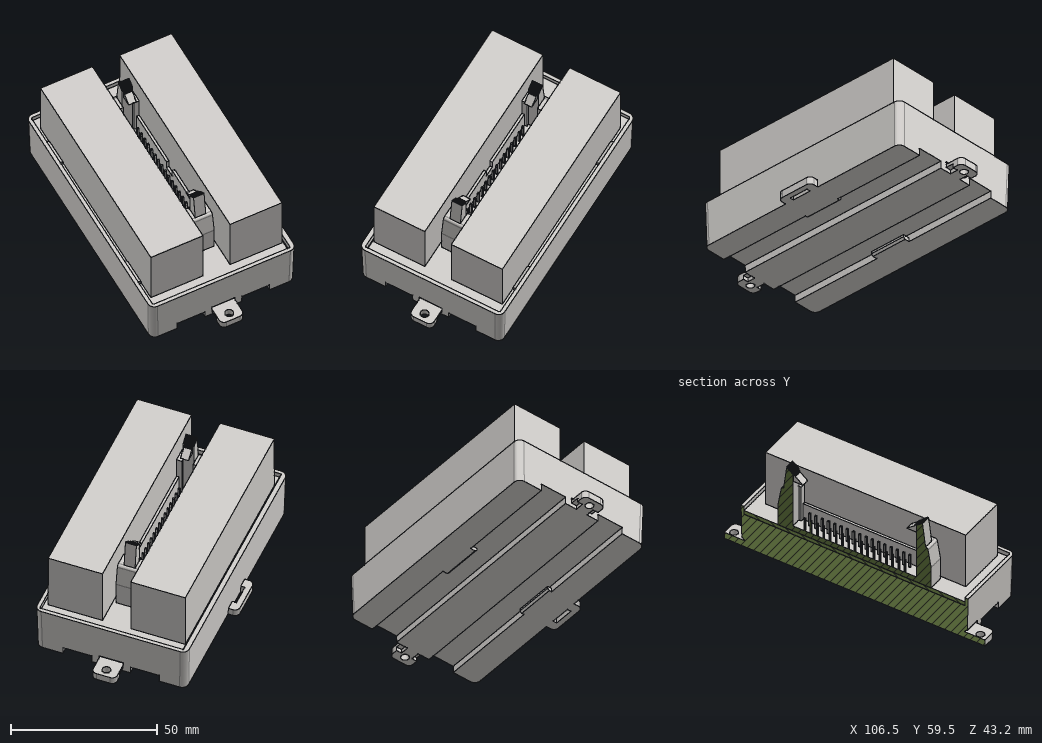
import cadquery as cq
import math

housing_length = 92.9
housing_width = 56.2
housing_height = 18.0
housing_corner_radius = 2.5
draft_angle = 1.2
rim_width = 1.4
seat_corner_radius = 0.5

board_drop = 1.8
board_thickness = 1.6
block_length = 81.8
block_width = 20.1
block_spacing = 30.6
block_top = 39.1

ramp_flat = 0.4
ramp_reach = 1.0
ramp_drop = 1.1
snap_reach = 1.4
snap_drop = 1.3
snap_width = 10.0
snap_offset = 28.9

channel_depth = 2.9
channel_inner = 7.1
channel_outer = 17.8
hook_height = 1.6
fixed_hook_reach = 2.7
clip_hook_reach = 1.7
hook_lip = 0.7

overall_length = 106.5
tab_width = 8.9
tab_thickness = 2.9
tab_corner_radius = 1.9
tab_hole_diameter = 3.0
tab_hole_offset = 50.3
tab_notch_end = 49.3
tab_notch_height = 1.6
tab_notch_depth = 2.1
relief_height = 1.1
relief_depth = 1.1
clip_width = 15.1
clip_end = 31.4
clip_slot_width = 7.8
clip_slot_end = 29.3

header_length = 62.6
header_width = 8.2
header_top = 33.3
header_top_length = 59.9
header_taper_start = 25.2
header_round = 1.1
socket_length = 48.4
socket_wall = 1.0
socket_floor_height = 2.1
key_width = 4.2
key_depth = 3.2
pin_columns = 17
pin_pitch = 2.6
pin_row_spacing = 3.2
pin_size = 0.6
pin_height = 5.3

latch_top = 43.2
latch_top_x = 27.8
latch_inner_x = 25.1
latch_slot_x = 29.1
latch_width = 4.0
latch_slope = 0.8
latch_nose_x = 21.2
latch_nose_width = 3.0
grip_end_x = 24.3
grip_steps = 10

board_top = housing_height - board_drop
board_bottom = board_top - board_thickness
seat_length = housing_length - 2 * rim_width
seat_width = housing_width - 2 * rim_width
wall_inset = housing_height * math.tan(math.radians(draft_angle))
wall_foot_x = housing_length / 2 - wall_inset


def box(x_range, y_range, z_range):
    """Box given by its limits along each axis."""
    size = [high - low for low, high in (x_range, y_range, z_range)]
    return cq.Workplane().box(*size, centered=False).translate((x_range[0], y_range[0], z_range[0]))


def extrude_along_x(points, length, center_x=0.0):
    """Profile of (y, z) points, extruded evenly to both sides of center_x."""
    return cq.Workplane("YZ").workplane(offset=center_x).polyline(points).close().extrude(length / 2, both=True)


def extrude_along_y(points, width):
    """Profile of (x, z) points, extruded evenly to both sides of the XZ plane."""
    return cq.Workplane("XZ").polyline(points).close().extrude(width / 2, both=True)


def mirrored_pair(right_half):
    """The given shape with its mirror image on the -X side."""
    return right_half.union(right_half.mirror("YZ"))


def make_tray():
    body = (
        cq.Workplane(origin=(0, 0, housing_height))
        .rect(housing_length, housing_width)
        .extrude(-housing_height, taper=draft_angle)
        .edges("not(#Z or |X or |Y)")
        .fillet(housing_corner_radius)
    )
    seat = (
        cq.Workplane(origin=(0, 0, board_bottom))
        .rect(seat_length, seat_width)
        .extrude(housing_height - board_bottom)
        .edges("|Z")
        .fillet(seat_corner_radius)
    )
    return body.cut(seat)


def edge_ramp(side, reach, drop, length, flat=0.0, center_x=0.0):
    """Strip on the +Y (1) or -Y (-1) wall: flat at the rim, then a slope, then upright to the board."""
    wall = side * seat_width / 2
    shoulder = wall - side * flat
    edge = wall - side * reach
    points = [
        (wall, board_top),
        (edge, board_top),
        (edge, housing_height - drop),
        (shoulder, housing_height),
    ]
    if flat > 0:
        points.append((wall, housing_height))
    return extrude_along_x(points, length, center_x)


def rail_channels():
    channel = box((-housing_length, housing_length), (channel_inner, channel_outer), (0, channel_depth))
    return channel.union(channel.mirror("XZ"))


def rail_hook(side, reach):
    """Hook at the outer edge of a channel, undercut below its lip."""
    root = side * channel_outer
    tip = root - side * reach
    foot = root - side * (reach - hook_lip)
    points = [(root, 0), (foot, 0), (tip, hook_lip), (tip, hook_height), (root, hook_height)]
    return extrude_along_x(points, clip_width)


def screw_tab():
    """Tab on the +X side with a screw hole and a notch low in each flank."""
    tab = (
        box((wall_foot_x - relief_depth, overall_length / 2), (-tab_width / 2, tab_width / 2), (0, tab_thickness))
        .edges("|Z and >X")
        .fillet(tab_corner_radius)
    )
    hole = cq.Workplane().center(tab_hole_offset, 0).circle(tab_hole_diameter / 2).extrude(tab_thickness)
    notch = box(
        (wall_foot_x, tab_notch_end),
        (-tab_width / 2, -tab_width / 2 + tab_notch_depth),
        (0, tab_notch_height),
    )
    return tab.cut(hole).cut(notch).cut(notch.mirror("XZ"))


def tab_relief():
    """Sloped relief in the +X wall just above the screw tab."""
    inner_x = wall_foot_x - relief_depth
    outer_x = housing_length / 2
    top = tab_thickness + relief_height
    points = [(inner_x, tab_thickness), (outer_x, tab_thickness), (outer_x, top), (wall_foot_x, top)]
    return extrude_along_y(points, tab_width)


def clip_tab():
    """Pull tab on the +Y side with a slot for a screwdriver."""
    wall_foot_y = housing_width / 2 - wall_inset
    tab = (
        box((-clip_width / 2, clip_width / 2), (channel_outer, clip_end), (0, tab_thickness))
        .edges("|Z and >Y")
        .fillet(tab_corner_radius)
    )
    slot = box((-clip_slot_width / 2, clip_slot_width / 2), (wall_foot_y, clip_slot_end), (0, tab_thickness))
    return tab.cut(slot)


def make_housing():
    housing = make_tray().cut(rail_channels()).cut(mirrored_pair(tab_relief()))
    housing = housing.union(edge_ramp(1, ramp_reach, ramp_drop, seat_length, ramp_flat))
    housing = housing.union(mirrored_pair(edge_ramp(-1, snap_reach, snap_drop, snap_width, center_x=snap_offset)))
    housing = housing.union(rail_hook(1, clip_hook_reach)).union(rail_hook(-1, fixed_hook_reach))
    return housing.union(mirrored_pair(screw_tab())).union(clip_tab())


def make_board():
    """Circuit board with a plain terminal block along each long side."""
    board = (
        cq.Workplane(origin=(0, 0, board_bottom))
        .rect(seat_length, seat_width)
        .extrude(board_thickness)
        .edges("|Z")
        .fillet(seat_corner_radius)
    )
    blocks = (
        cq.Workplane(origin=(0, 0, board_top))
        .rarray(1.1, block_spacing, 1, 2)
        .rect(block_length, block_width)
        .extrude(block_top - board_top)
    )
    return board.union(blocks)


def header_shell():
    """Header body with tapered end posts and a lower socket between them."""
    half_length = header_length / 2
    half_top = header_top_length / 2
    half_socket = socket_length / 2
    outline = [
        (-half_length, board_top),
        (half_length, board_top),
        (half_length, header_taper_start),
        (half_top, header_top),
        (half_socket, header_top),
        (half_socket, header_taper_start),
        (-half_socket, header_taper_start),
        (-half_socket, header_top),
        (-half_top, header_top),
        (-half_length, header_taper_start),
    ]
    shell = extrude_along_y(outline, header_width)
    shell = shell.edges("|Y and (>(1,0,2) or >(-1,0,2))").fillet(header_round)

    socket_floor = board_top + socket_floor_height
    inner_half_width = header_width / 2 - socket_wall
    socket = box((-half_socket, half_socket), (-inner_half_width, inner_half_width), (socket_floor, header_top))
    key = box((-key_width / 2, key_width / 2), (0, header_width / 2), (header_taper_start - key_depth, header_top))
    latch_slot = box(
        (half_socket, latch_slot_x),
        (-latch_width / 2, latch_width / 2),
        (socket_floor, header_top),
    )
    return shell.cut(socket).cut(key).cut(mirrored_pair(latch_slot))


def header_pins():
    return (
        cq.Workplane(origin=(0, 0, board_top + socket_floor_height))
        .rarray(pin_pitch, pin_row_spacing, pin_columns, 2)
        .rect(pin_size, pin_size)
        .extrude(pin_height)
    )


def latch():
    """Latch at the +X end: stepped grip on top and a narrower nose toward the socket."""
    foot = board_top + socket_floor_height
    nose_bottom = latch_top - (latch_top_x - latch_nose_x) * latch_slope
    step_run = (latch_top_x - grip_end_x) / grip_steps
    step_drop = step_run * latch_slope
    profile = [
        (latch_nose_x, nose_bottom),
        (latch_inner_x, nose_bottom),
        (latch_inner_x, foot),
        (latch_slot_x, foot),
        (latch_slot_x, header_top),
        (latch_top_x, latch_top),
    ]
    for step in range(1, grip_steps + 1):
        x = latch_top_x - step * step_run
        profile.append((x, latch_top - (step - 1) * step_drop))
        profile.append((x, latch_top - step * step_drop))

    arm_space = box((latch_inner_x, latch_slot_x), (-latch_width / 2, latch_width / 2), (foot, latch_top))
    arm = extrude_along_y(profile, latch_width).intersect(arm_space)
    return arm.union(extrude_along_y(profile, latch_nose_width))


def make_header():
    return header_shell().union(header_pins()).union(mirrored_pair(latch()))


housing = make_housing()
board = make_board()
header = make_header()

result = cq.Compound.makeCompound([housing.val(), board.val(), header.val()])